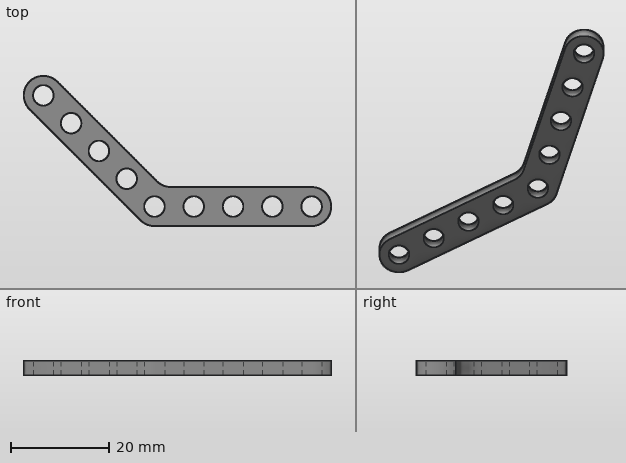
import cadquery as cq
import math

overall_length = 62.6
thickness = 3.0
hole_diameter = 4.15
pitches_per_arm = 4
bend_angle = 135.0

slant_run = -math.cos(math.radians(bend_angle))
pitch = overall_length / (1 + pitches_per_arm * (1 + slant_run))
arm_width = pitch
arm_length = pitches_per_arm * pitch
inner_bend_radius = arm_width / 2


def make_arm(angle):
    """Round-ended bar from the bend center at the origin, along the given angle."""
    bar = cq.Workplane("XY").center(arm_length / 2, 0)
    bar = bar.slot2D(arm_length + arm_width, arm_width).extrude(thickness)
    return bar.rotate((0, 0, 0), (0, 0, 1), angle)


def hole_centers(angle, first):
    """Points spaced one pitch apart along an arm, starting at pitch number first."""
    direction = math.radians(angle)
    return [
        (i * pitch * math.cos(direction), i * pitch * math.sin(direction))
        for i in range(first, pitches_per_arm + 1)
    ]


body = make_arm(0).union(make_arm(bend_angle))

inner_corner = (arm_width / 2 / math.tan(math.radians(bend_angle / 2)), arm_width / 2, thickness / 2)
body = body.edges(cq.selectors.NearestToPointSelector(inner_corner)).fillet(inner_bend_radius)

centers = hole_centers(0, first=0) + hole_centers(bend_angle, first=1)
holes = cq.Workplane("XY").pushPoints(centers).circle(hole_diameter / 2).extrude(thickness)

result = body.cut(holes)